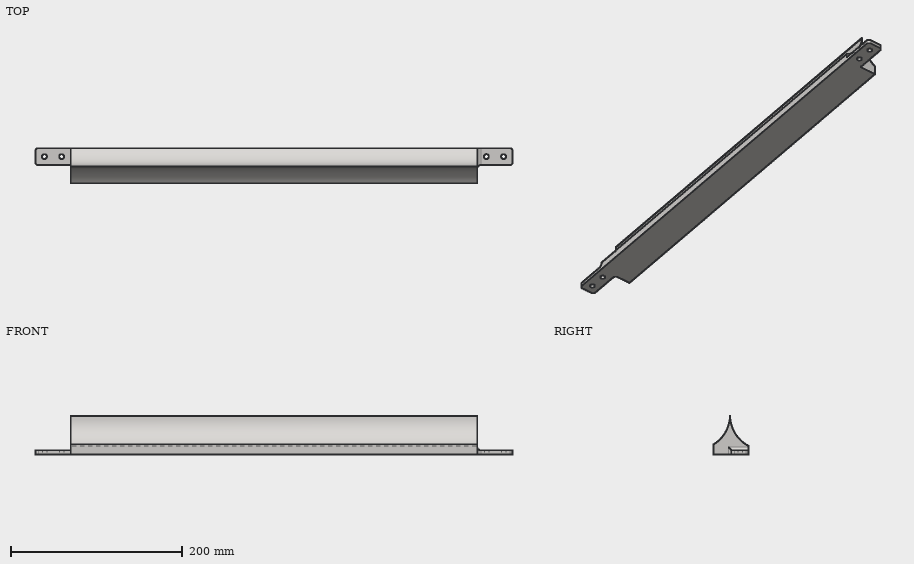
import cadquery as cq

total_length = 558.0
body_length = 475.5
body_width = 41.5
body_height = 45.0

front_shoulder_height = 11.5
back_shoulder_height = 10.0
ridge_y = -1.0
ridge_width = 0.5
flank_radius = 39.5

tab_width = 20.0
tab_thickness = 5.0
tab_corner_radius = 3.5
root_fillet_radius = 4.0
hole_diameter = 5.5
hole_spacing = 20.0
hole_end_distance = 10.5

half_width = body_width / 2
tab_center_y = half_width - tab_width / 2


def make_body():
    """Long bar whose two concave flanks meet at a narrow flat ridge."""
    return (
        cq.Workplane("YZ")
        .moveTo(-half_width, 0)
        .lineTo(half_width, 0)
        .lineTo(half_width, back_shoulder_height)
        .radiusArc((ridge_y + ridge_width / 2, body_height), flank_radius)
        .lineTo(ridge_y - ridge_width / 2, body_height)
        .radiusArc((-half_width, front_shoulder_height), flank_radius)
        .close()
        .extrude(body_length / 2, both=True)
    )


def make_tab_strip():
    """Flat strip under the +Y half that projects as a tab at each end."""
    hole_positions = []
    for side in (-1, 1):
        outer_x = total_length / 2 - hole_end_distance
        hole_positions.append((side * outer_x, 0))
        hole_positions.append((side * (outer_x - hole_spacing), 0))
    return (
        cq.Workplane("XY")
        .center(0, tab_center_y)
        .rect(total_length, tab_width)
        .extrude(tab_thickness)
        .edges("|Z")
        .fillet(tab_corner_radius)
        .faces("<Z")
        .workplane(origin=(0, tab_center_y, 0))
        .pushPoints(hole_positions)
        .hole(hole_diameter)
    )


def fillet_right_root(part):
    """Blend the top and the -Y side of the +X tab into the end of the body."""
    margin = 0.05
    root_x = body_length / 2
    root_edges = part.edges(
        cq.selectors.BoxSelector(
            (root_x - margin, half_width - tab_width - margin, margin),
            (root_x + margin, half_width + margin, tab_thickness + margin),
        )
    ).edges("|Y or (|Z and <Y)")
    return root_edges.fillet(root_fillet_radius)


result = fillet_right_root(make_body().union(make_tab_strip()))